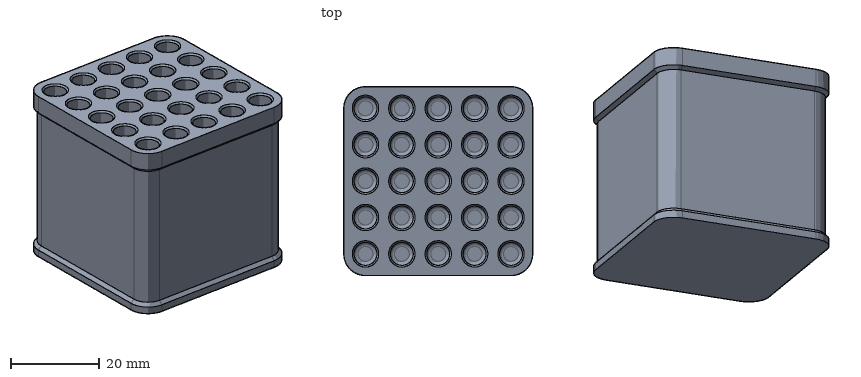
import cadquery as cq

holes_per_side = 5
body_side = 41.35
body_height = body_side
rim_overhang = 0.8
outer_side = body_side + 2 * rim_overhang
top_rim_band = 4.2
base_rim_band = 1.7

pitch = body_side / holes_per_side
body_corner_radius = pitch / 2
outer_corner_radius = body_corner_radius + rim_overhang

hole_diameter = 5.2
mouth_chamfer = 0.4
floor_fillet = 0.9
hole_floor = base_rim_band + rim_overhang


def rounded_block(side, corner_radius, height):
    """Square block standing on Z = 0 with rounded vertical edges."""
    return cq.Workplane("XY").rect(side, side).extrude(height).edges("|Z").fillet(corner_radius)


def rim(band_height, sloped_face):
    """Rim standing on Z = 0 that slopes back to the body at its given end face."""
    block = rounded_block(outer_side, outer_corner_radius, band_height + rim_overhang)
    return block.faces(sloped_face).chamfer(rim_overhang)


def hole_cutter():
    """Round hole with a filleted floor and a chamfered mouth at the top of the body."""
    radius = hole_diameter / 2
    bore = (
        cq.Workplane("XY")
        .workplane(offset=hole_floor)
        .circle(radius)
        .extrude(body_height - hole_floor)
        .faces("<Z")
        .edges()
        .fillet(floor_fillet)
    )
    mouth = cq.Solid.makeCone(
        radius,
        radius + mouth_chamfer,
        mouth_chamfer,
        pnt=cq.Vector(0, 0, body_height - mouth_chamfer),
    )
    return bore.union(cq.Workplane(mouth)).val()


body = rounded_block(body_side, body_corner_radius, body_height)
base_rim = rim(base_rim_band, ">Z")
top_rim_bottom = body_height - top_rim_band - rim_overhang
top_rim = rim(top_rim_band, "<Z").translate((0, 0, top_rim_bottom))

cutter = hole_cutter()
hole_cutters = (
    cq.Workplane("XY")
    .rarray(pitch, pitch, holes_per_side, holes_per_side)
    .eachpoint(lambda place: cutter.moved(place))
)

result = body.union(base_rim).union(top_rim).cut(hole_cutters)